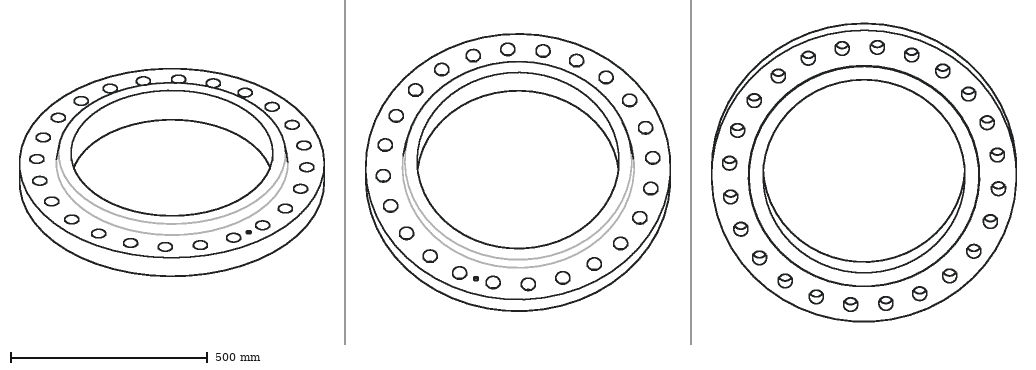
import cadquery as cq
import math

flange_diameter = 774.5
flange_thickness = 60.5
bore_diameter = 513.0

face_diameter = 587.0
face_height = 2.0
face_chamfer = 1.5

total_height = 95.0
hub_base_diameter = face_diameter
hub_top_diameter = 578.0
hub_top_round = 1.5
hub_base_fillet = 1.5

bolt_circle_diameter = 686.0
bolt_count = 24
bolt_hole_diameter = 36.0

pin_hole_diameter = 8.0
pin_hole_mouth_diameter = 12.5
pin_hole_depth = 23.0
drill_point_angle = 118

flange_top = face_height + flange_thickness
bolt_pitch = 360 / bolt_count


def turned_body():
    """Revolve the half section of face, flange and hub about the Z axis."""
    bore_radius = bore_diameter / 2
    face_radius = face_diameter / 2
    hub_base_radius = hub_base_diameter / 2
    hub_top_radius = hub_top_diameter / 2
    section = (
        cq.Workplane("XZ")
        .moveTo(bore_radius, 0)
        .lineTo(face_radius - face_chamfer, 0)
        .lineTo(face_radius, face_height)
        .lineTo(flange_diameter / 2, face_height)
        .lineTo(flange_diameter / 2, flange_top)
        .lineTo(hub_base_radius + hub_base_fillet, flange_top)
        .radiusArc((hub_base_radius, flange_top + hub_base_fillet), hub_base_fillet)
        .lineTo(hub_top_radius, total_height - hub_top_round)
        .radiusArc((hub_top_radius - hub_top_round, total_height), -hub_top_round)
        .lineTo(bore_radius, total_height)
        .close()
    )
    return section.revolve(360, (0, 0, 0), (0, 1, 0))


def bolt_holes():
    """Cylinders for the evenly spaced through holes."""
    return (
        cq.Workplane("XY")
        .polarArray(bolt_circle_diameter / 2, 0, 360, bolt_count)
        .circle(bolt_hole_diameter / 2)
        .extrude(total_height)
    )


def pin_hole():
    """Countersunk, drill-pointed blind hole in the flange top, half a pitch from the +X bolt hole."""
    hole_radius = pin_hole_diameter / 2
    mouth_radius = pin_hole_mouth_diameter / 2
    mouth_depth = mouth_radius - hole_radius
    point_depth = hole_radius / math.tan(math.radians(drill_point_angle / 2))
    cutter = (
        cq.Workplane("XZ")
        .lineTo(mouth_radius, 0)
        .lineTo(hole_radius, -mouth_depth)
        .lineTo(hole_radius, -pin_hole_depth)
        .lineTo(0, -pin_hole_depth - point_depth)
        .close()
        .revolve(360, (0, 0, 0), (0, 1, 0))
    )
    on_bolt_circle = cutter.translate((bolt_circle_diameter / 2, 0, flange_top))
    return on_bolt_circle.rotate((0, 0, 0), (0, 0, 1), bolt_pitch / 2)


result = turned_body().cut(bolt_holes()).cut(pin_hole())